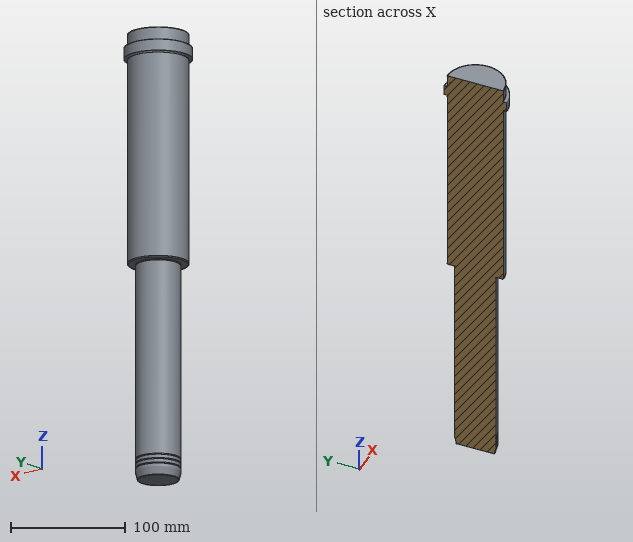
import cadquery as cq
import math

post_diameter = 40.0
total_height = 403.0
lead_height = 7.0
lead_angle = 15.0
tip_chamfer = 0.5

neck_diameter = 39.5
neck_length = 1.0

groove_width = 1.0
groove_pitch = 4.0
groove_count = 3
first_groove_height = 10.0

bush_diameter = 54.0
bush_length = 208.0
bottom_chamfer = 1.0
top_chamfer = 0.5

flange_diameter = 60.0
flange_thickness = 10.0
flange_top_depth = 12.0
flange_fillet = 0.5

bush_bottom = total_height - bush_length
flange_top = total_height - flange_top_depth
flange_bottom = flange_top - flange_thickness


def cylinder(diameter, bottom, height):
    """Solid cylinder on the Z axis."""
    return cq.Workplane("XY").workplane(offset=bottom).circle(diameter / 2).extrude(height)


def groove_ring(diameter, bottom):
    """Ring that cuts a half-round groove into a cylinder of the given diameter."""
    radius = diameter / 2
    groove_radius = groove_width / 2
    return (
        cq.Workplane("XZ")
        .moveTo(radius, bottom)
        .threePointArc((radius - groove_radius, bottom + groove_radius), (radius, bottom + groove_width))
        .close()
        .revolve(360, (0, 0), (0, 1))
    )


def make_post():
    """Post with a tapered lead-in, half-round grooves and a neck below the bush."""
    post_radius = post_diameter / 2
    tip_radius = post_radius - (lead_height - tip_chamfer) * math.tan(math.radians(lead_angle))
    post = (
        cq.Workplane("XZ")
        .lineTo(tip_radius - tip_chamfer, 0)
        .lineTo(tip_radius, tip_chamfer)
        .lineTo(post_radius, lead_height)
        .lineTo(post_radius, flange_top)
        .lineTo(0, flange_top)
        .close()
        .revolve(360, (0, 0), (0, 1))
    )
    for index in range(groove_count):
        groove_bottom = first_groove_height + index * groove_pitch
        post = post.cut(groove_ring(post_diameter, groove_bottom))
    neck_bottom = bush_bottom - neck_length
    neck_sleeve = cylinder(bush_diameter, neck_bottom, neck_length)
    neck_core = cylinder(neck_diameter, neck_bottom, neck_length)
    return post.cut(neck_sleeve.cut(neck_core))


def make_bush():
    """Flanged bush with chamfered ends and a half-round groove on each side of its flange."""
    bush = cylinder(bush_diameter, bush_bottom, bush_length)
    bush = bush.faces("<Z").chamfer(bottom_chamfer)
    bush = bush.faces(">Z").chamfer(top_chamfer)
    flange = cylinder(flange_diameter, flange_bottom, flange_thickness)
    flange = flange.edges(">Z").fillet(flange_fillet)
    bush = bush.union(flange)
    for groove_bottom in (flange_top, flange_bottom - groove_width):
        bush = bush.cut(groove_ring(bush_diameter, groove_bottom))
    return bush


result = make_post().union(make_bush())